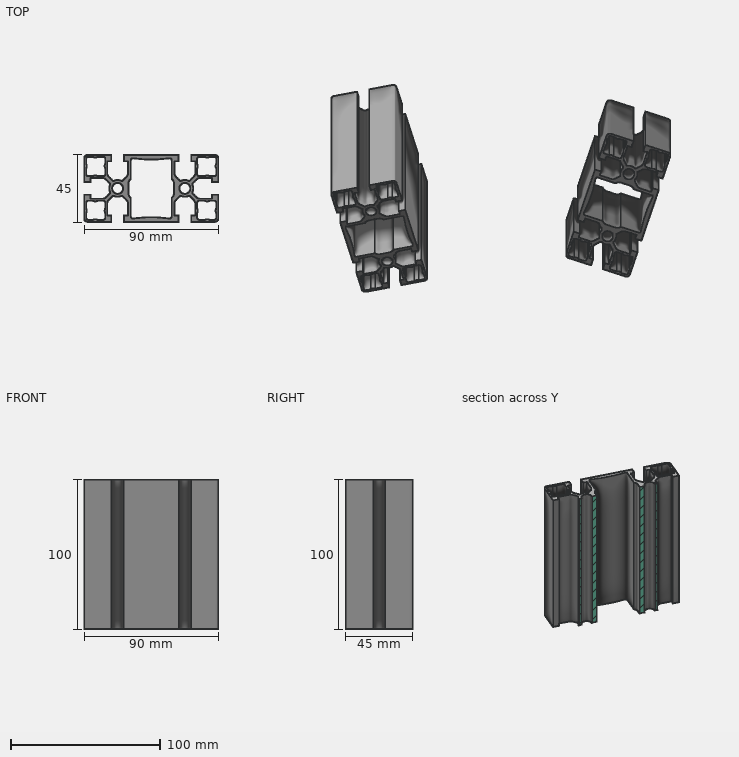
import cadquery as cq
import math

LENGTH = 100.0
WIDTH = 90.0
DEPTH = 45.0
CORNER_RADIUS = 2.5

HUB_X = WIDTH / 4
HUB_RADIUS = 5.7
BORE_DIAMETER = 7.2

SLOT_REACH = DEPTH / 2
MOUTH_WIDTH = 8.3
LIP_THICKNESS = 4.4
POCKET_HALF = 6.9
WEB_OFFSET = 1.9
POCKET_RADIUS = 3.5
HUB_ROOT_RADIUS = 0.6

CELL_SIZE = 12.7
CELL_INSET = 1.5
CELL_RADIUS = 1.2
BEAD_WIDTH = 3.0
BEAD_HEIGHT = 0.5
BEAD_SHIFT = 0.3

CHAMBER_HALF_WIDTH = 13.6
CHAMBER_EDGE_WALL = 2.3
CHAMBER_CROWN_WALL = 3.2
CROWN_HALF_WIDTH = 4.1
CHAMBER_RADIUS = 1.2
RECESS_DEPTH = 1.6
RECESS_HALF = 4.8
RECESS_RADIUS = 4.0


def round_edges(solid, points, radius):
    """Fillet the upright edge standing at each (x, y) point."""
    for x, y in points:
        nearest = cq.selectors.NearestToPointSelector((x, y, LENGTH / 2))
        solid = solid.edges("|Z").edges(nearest).fillet(radius)
    return solid


def four_ways(x, y):
    return [(x, y), (-x, y), (-x, -y), (x, -y)]


def slot_void():
    """Space of one slot, opening towards +Y with its hub at the origin."""
    mouth_x = MOUTH_WIDTH / 2
    lip_y = SLOT_REACH - LIP_THICKNESS
    web_y = POCKET_HALF + WEB_OFFSET
    void = (
        cq.Workplane("XY")
        .moveTo(0, WEB_OFFSET)
        .lineTo(POCKET_HALF, web_y)
        .lineTo(POCKET_HALF, lip_y)
        .lineTo(mouth_x, lip_y)
        .lineTo(mouth_x, SLOT_REACH)
        .lineTo(-mouth_x, SLOT_REACH)
        .lineTo(-mouth_x, lip_y)
        .lineTo(-POCKET_HALF, lip_y)
        .lineTo(-POCKET_HALF, web_y)
        .close()
        .extrude(LENGTH)
    )
    void = void.cut(cq.Workplane("XY").circle(HUB_RADIUS).extrude(LENGTH))
    root_x = (math.sqrt(2 * HUB_RADIUS**2 - WEB_OFFSET**2) - WEB_OFFSET) / 2
    root_y = root_x + WEB_OFFSET
    void = round_edges(void, [(-POCKET_HALF, web_y), (POCKET_HALF, web_y)], POCKET_RADIUS)
    return round_edges(void, [(-root_x, root_y), (root_x, root_y)], HUB_ROOT_RADIUS)


def cell_void():
    """Space of the corner cell at +X +Y, in its place in the section."""
    half = CELL_SIZE / 2
    void = cq.Workplane("XY").rect(CELL_SIZE, CELL_SIZE).extrude(LENGTH)
    void = void.edges("|Z").fillet(CELL_RADIUS)
    for side in (-1, 1):
        bead = (
            cq.Workplane("XY")
            .moveTo(BEAD_SHIFT - BEAD_WIDTH / 2, side * half)
            .threePointArc(
                (BEAD_SHIFT, side * (half - BEAD_HEIGHT)),
                (BEAD_SHIFT + BEAD_WIDTH / 2, side * half),
            )
            .close()
            .extrude(LENGTH)
        )
        swapped = bead.rotate((0, 0, 0), (1, 1, 0), 180).translate((0, 0, LENGTH))
        void = void.cut(bead).cut(swapped)
    from_edge = CELL_INSET + half
    return void.translate((WIDTH / 2 - from_edge, DEPTH / 2 - from_edge, 0))


def chamber_void():
    """Space of the middle chamber."""
    edge_y = DEPTH / 2 - CHAMBER_EDGE_WALL
    crown_y = DEPTH / 2 - CHAMBER_CROWN_WALL
    recess_x = CHAMBER_HALF_WIDTH + RECESS_DEPTH
    recess_y = RECESS_HALF + RECESS_DEPTH
    quarter = [
        (recess_x, RECESS_HALF),
        (CHAMBER_HALF_WIDTH, recess_y),
        (CHAMBER_HALF_WIDTH, edge_y),
        (CROWN_HALF_WIDTH, crown_y),
    ]
    upper = quarter + [(-x, y) for x, y in reversed(quarter)]
    lower = [(-x, -y) for x, y in upper]
    void = cq.Workplane("XY").polyline(upper + lower).close().extrude(LENGTH)
    void = round_edges(void, four_ways(CHAMBER_HALF_WIDTH, edge_y), CHAMBER_RADIUS)
    return round_edges(void, four_ways(recess_x, RECESS_HALF), RECESS_RADIUS)


profile = cq.Workplane("XY").rect(WIDTH, DEPTH).extrude(LENGTH)
profile = profile.edges("|Z").fillet(CORNER_RADIUS)

slot = slot_void()
for hub_x, outward_angle in ((-HUB_X, 90), (HUB_X, -90)):
    for angle in (0, 180, outward_angle):
        turned = slot.rotate((0, 0, 0), (0, 0, 1), angle)
        profile = profile.cut(turned.translate((hub_x, 0, 0)))

right_cell = cell_void()
left_cell = right_cell.mirror("YZ")
for cell in (right_cell, left_cell):
    profile = profile.cut(cell).cut(cell.mirror("XZ"))

profile = profile.cut(chamber_void())

bores = cq.Workplane("XY").pushPoints([(-HUB_X, 0), (HUB_X, 0)]).circle(BORE_DIAMETER / 2).extrude(LENGTH)
result = profile.cut(bores)